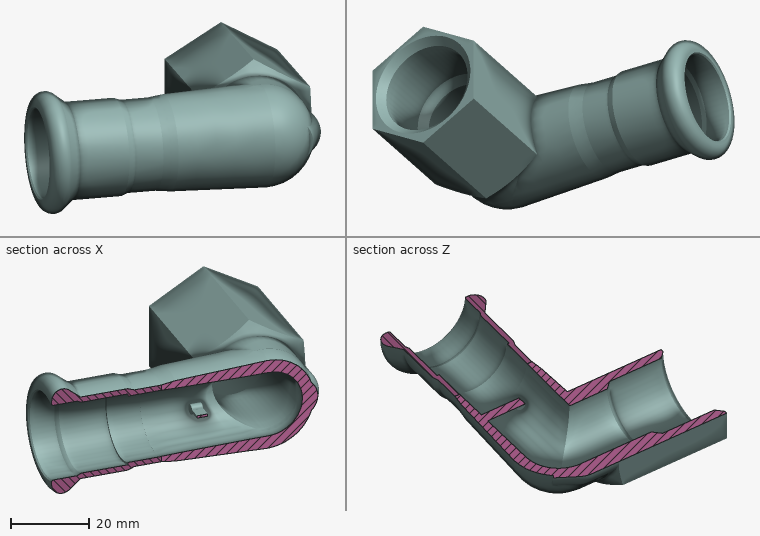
import cadquery as cq
import math


HEX_FLATS = 30.0
HEX_CORNERS = HEX_FLATS / math.cos(math.radians(30))
HEX_MOUTH_X = -42.0
HEX_BACK_X = -7.6
HEX_CHAMFER_ANGLE = 60.0
THREAD_DIAMETER = 24.12
THREAD_MOUTH_DIAMETER = 28.0
THREAD_DEPTH = 18.0
ARM_BORE_DIAMETER = 20.0

ELBOW_RADIUS = 13.5
CORNER_Y = -0.5
ARM_RADIUS = 13.55
ARM_END_X = -0.15
ARM_OVERLAP = 4.0
CORNER_BORE_DIAMETER = 20.2
CORNER_BORE_Y = -0.08
LEG_BORE_DIAMETER = 20.9
LEG_END_DIAMETER = 25.0
LEG_TAPER_END_Y = -25.9
JOINT_Y = -29.8

RIDGE_RADIUS = 6.0
RIDGE_AXIS_Y = HEX_FLATS / 2 - RIDGE_RADIUS
RIDGE_START_X = -20.0
RIDGE_SLOPE_ANGLE = 30.0
RIDGE_SLOPE_LENGTH = 6.9

PIN_DIAMETER = 2.7
WEB_THICKNESS = 0.8
PIN_FRONT_Y = -20.0
PIN_LENGTH = 3.0

PRESS_END_Y = -60.0
NECK_DIAMETER = 24.0
NECK_BORE_DIAMETER = 21.0
SLEEVE_DIAMETER = 25.3
SOCKET_DIAMETER = 22.2
NECK_END_Y = -37.2
SLEEVE_START_Y = -39.0
SLEEVE_END_Y = -52.0
BEAD_ROUND_RADIUS = 3.0
BEAD_DIAMETER = 31.6
BEAD_FLANK_END_Y = -54.85
BEAD_BORE_DIAMETER = 23.2
BEAD_BORE_END_Y = PRESS_END_Y + 7.1
BEAD_BORE_TAPER_END_Y = PRESS_END_Y + 8.2
LIP_DIAMETER = 23.8
LIP_CHAMFER_DEPTH = 0.4


def revolve_about_x(outline):
    """Turn a closed (x, radius) outline about the arm axis."""
    return outline.close().revolve(360, (0, 0, 0), (1, 0, 0))


def revolve_about_y(outline):
    """Turn a closed (radius, y) outline about the leg axis."""
    return outline.close().revolve(360, (0, 0, 0), (0, 1, 0))


def rod_along_x(radius, start_x, end_x):
    return cq.Workplane("YZ", origin=(start_x, 0, 0)).circle(radius).extrude(end_x - start_x)


def ball(radius, x, y):
    return cq.Workplane("XY", origin=(x, y, 0)).sphere(radius)


def hexagon():
    """Hexagonal prism with flats facing +Y and -Y and its corners bevelled at the back."""
    prism = (
        cq.Workplane("YZ", origin=(HEX_MOUTH_X, 0, 0))
        .polygon(6, HEX_CORNERS)
        .extrude(HEX_BACK_X - HEX_MOUTH_X)
        .rotate((0, 0, 0), (1, 0, 0), 90)
    )
    corner_radius = HEX_CORNERS / 2
    bevel_length = (corner_radius - ELBOW_RADIUS) / math.tan(math.radians(HEX_CHAMFER_ANGLE))
    envelope = revolve_about_x(
        cq.Workplane("XY")
        .moveTo(HEX_MOUTH_X, 0)
        .lineTo(HEX_MOUTH_X, corner_radius)
        .lineTo(HEX_BACK_X - bevel_length, corner_radius)
        .lineTo(HEX_BACK_X, ELBOW_RADIUS)
        .lineTo(HEX_BACK_X, 0)
    )
    return prism.intersect(envelope)


def domed_leg(dome_radius, dome_y, *outline_below):
    """Round leg with a hemisphere at the corner, then straight runs through (radius, y) points."""
    dome_middle = dome_radius * math.sqrt(0.5)
    outline = (
        cq.Workplane("XY")
        .moveTo(0, dome_y + dome_radius)
        .threePointArc((dome_middle, dome_y + dome_middle), (dome_radius, dome_y))
    )
    for radius, y in outline_below:
        outline = outline.lineTo(radius, y)
    return revolve_about_y(outline.lineTo(0, JOINT_Y))


def leg():
    """Conical leg, ending in a steeper cone down to the neck diameter."""
    taper_end = (LEG_END_DIAMETER / 2, LEG_TAPER_END_Y)
    neck_end = (NECK_DIAMETER / 2, JOINT_Y)
    return domed_leg(ELBOW_RADIUS, CORNER_Y, taper_end, neck_end)


def arm():
    """Cylinder from the back of the hexagon to the corner, a hair wider than the corner dome."""
    return rod_along_x(ARM_RADIUS, HEX_BACK_X - ARM_OVERLAP, ARM_END_X).translate((0, CORNER_Y, 0))


def ridge():
    """Round rod along the back of the arm that bends down over the corner."""
    straight = rod_along_x(RIDGE_RADIUS, RIDGE_START_X, 0).translate((0, RIDGE_AXIS_Y, 0))
    knee = ball(RIDGE_RADIUS, 0, RIDGE_AXIS_Y)
    slope = (
        rod_along_x(RIDGE_RADIUS, 0, RIDGE_SLOPE_LENGTH)
        .rotate((0, 0, 0), (0, 0, 1), -RIDGE_SLOPE_ANGLE)
        .translate((0, RIDGE_AXIS_Y, 0))
    )
    return straight.union(knee).union(slope)


def threaded_bore():
    """Stepped bore of the hexagon: 45 degree mouth, thread bore, 45 degree bottom, arm bore."""
    mouth_radius = THREAD_MOUTH_DIAMETER / 2
    thread_radius = THREAD_DIAMETER / 2
    arm_radius = ARM_BORE_DIAMETER / 2
    thread_end_x = HEX_MOUTH_X + THREAD_DEPTH
    return revolve_about_x(
        cq.Workplane("XY")
        .moveTo(HEX_MOUTH_X, 0)
        .lineTo(HEX_MOUTH_X, mouth_radius)
        .lineTo(HEX_MOUTH_X + mouth_radius - thread_radius, thread_radius)
        .lineTo(thread_end_x, thread_radius)
        .lineTo(thread_end_x + thread_radius - arm_radius, arm_radius)
        .lineTo(0, arm_radius)
        .lineTo(0, 0)
    )


def leg_bore():
    """Slightly tapered leg bore with a half-round end at the corner."""
    return domed_leg(CORNER_BORE_DIAMETER / 2, CORNER_BORE_Y, (LEG_BORE_DIAMETER / 2, JOINT_Y))


def pin_and_web():
    """Pin on the leg axis with a web that runs into the bore wall on the +X side."""
    plane = cq.Workplane("XZ", origin=(0, PIN_FRONT_Y + PIN_LENGTH, 0))
    web_reach = (LEG_BORE_DIAMETER + LEG_END_DIAMETER) / 4
    pin = plane.circle(PIN_DIAMETER / 2).extrude(PIN_LENGTH)
    web = plane.center(web_reach / 2, 0).rect(web_reach, WEB_THICKNESS).extrude(PIN_LENGTH)
    return pin.union(web)


def make_elbow_casting():
    body = leg().union(arm()).union(ridge()).union(hexagon())
    body = body.cut(threaded_bore()).cut(leg_bore())
    return body.union(pin_and_web())


def make_press_end():
    """Neck, sleeve and rounded bead turned in one piece, with the stepped socket inside."""
    bead_centre_radius = BEAD_DIAMETER / 2 - BEAD_ROUND_RADIUS
    bead_centre_y = PRESS_END_Y + BEAD_ROUND_RADIUS
    flank_rise = BEAD_FLANK_END_Y - bead_centre_y
    flank_radius = bead_centre_radius + math.sqrt(BEAD_ROUND_RADIUS**2 - flank_rise**2)
    return revolve_about_y(
        cq.Workplane("XY")
        .moveTo(NECK_BORE_DIAMETER / 2, JOINT_Y)
        .lineTo(NECK_DIAMETER / 2, JOINT_Y)
        .lineTo(NECK_DIAMETER / 2, NECK_END_Y)
        .lineTo(SLEEVE_DIAMETER / 2, SLEEVE_START_Y)
        .lineTo(SLEEVE_DIAMETER / 2, SLEEVE_END_Y)
        .lineTo(flank_radius, BEAD_FLANK_END_Y)
        .threePointArc((BEAD_DIAMETER / 2, bead_centre_y), (bead_centre_radius, PRESS_END_Y))
        .lineTo(LIP_DIAMETER / 2, PRESS_END_Y)
        .lineTo(BEAD_BORE_DIAMETER / 2, PRESS_END_Y + LIP_CHAMFER_DEPTH)
        .lineTo(BEAD_BORE_DIAMETER / 2, BEAD_BORE_END_Y)
        .lineTo(SOCKET_DIAMETER / 2, BEAD_BORE_TAPER_END_Y)
        .lineTo(SOCKET_DIAMETER / 2, SLEEVE_START_Y)
        .lineTo(NECK_BORE_DIAMETER / 2, SLEEVE_START_Y)
    )


elbow_casting = make_elbow_casting()
press_end = make_press_end()

result = cq.Compound.makeCompound([elbow_casting.val(), press_end.val()])